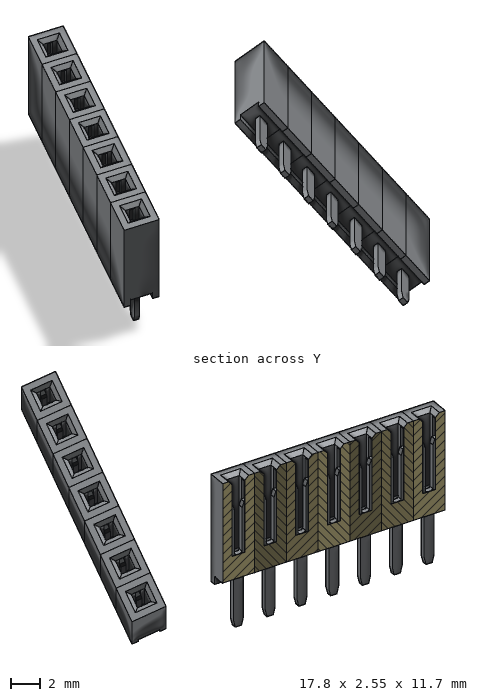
import cadquery as cq
import math

row_length = 17.78
cell_count = 7
pitch = row_length / cell_count
cell_depth = 2.55
cell_height = 8.5

channel_width = 1.6
channel_height = 0.6

mouth_side = 1.6
well_side = 1.0
mouth_depth = (mouth_side - well_side) / 2
well_depth = 6.0

contact_thickness = 0.4
slot_width = 1.7
slot_cover = 0.09

fork_top_depth = 2.0
fork_gap = 0.6
fork_mouth = 0.9
fork_lead_in = 0.43
gap_bottom_radius = 0.48

pin_width = 0.8
pin_length = 3.2
pin_tip_width = 0.5
pin_taper = 0.6

mouth_bottom_z = cell_height - mouth_depth
well_floor_z = cell_height - well_depth
slot_top_z = mouth_bottom_z - slot_cover
fork_top_z = cell_height - fork_top_depth
gap_bottom_z = well_floor_z


def centred_plate(outline):
    """Extrude an XZ outline to the contact thickness, centred on Y = 0."""
    return outline.extrude(contact_thickness / 2, both=True)


def make_block():
    """Plain cell with the channel cut along its underside."""
    block = cq.Workplane("XY").box(pitch, cell_depth, cell_height, centered=(True, True, False))
    channel = cq.Workplane("XY").box(pitch, channel_width, channel_height, centered=(True, True, False))
    return block.cut(channel)


def make_well():
    """Cutter for the square well and its funnel mouth."""
    shaft = cq.Workplane("XY").workplane(offset=well_floor_z).rect(well_side, well_side)
    shaft = shaft.extrude(mouth_bottom_z - well_floor_z)
    mouth = cq.Workplane("XY").workplane(offset=mouth_bottom_z).rect(well_side, well_side)
    mouth = mouth.workplane(offset=mouth_depth).rect(mouth_side, mouth_side).loft(ruled=True)
    return shaft.union(mouth)


def make_slot():
    """Cutter for the contact slot."""
    slot_height = slot_top_z - well_floor_z
    slot_centre_z = (slot_top_z + well_floor_z) / 2
    return centred_plate(cq.Workplane("XZ").center(0, slot_centre_z).rect(slot_width, slot_height))


def make_fork():
    """Fork with a tapered lead-in and a gap that ends in a shallow arc."""
    half_gap = fork_gap / 2
    half_mouth = fork_mouth / 2
    half_width = slot_width / 2
    throat_z = fork_top_z - fork_lead_in
    arc_rise = gap_bottom_radius - math.sqrt(gap_bottom_radius**2 - half_gap**2)
    gap_side_z = gap_bottom_z + arc_rise
    base_z = channel_height
    outline = (
        cq.Workplane("XZ")
        .moveTo(-half_width, base_z)
        .lineTo(-half_width, fork_top_z)
        .lineTo(-half_mouth, fork_top_z)
        .lineTo(-half_gap, throat_z)
        .lineTo(-half_gap, gap_side_z)
        .threePointArc((0, gap_bottom_z), (half_gap, gap_side_z))
        .lineTo(half_gap, throat_z)
        .lineTo(half_mouth, fork_top_z)
        .lineTo(half_width, fork_top_z)
        .lineTo(half_width, base_z)
        .close()
    )
    return centred_plate(outline)


def make_pin():
    """Flat solder pin with a tapered tip, running down from the channel roof."""
    half_width = pin_width / 2
    half_tip = pin_tip_width / 2
    tip_z = -pin_length
    outline = cq.Workplane("XZ").polyline([
        (-half_width, channel_height),
        (-half_width, tip_z + pin_taper),
        (-half_tip, tip_z),
        (half_tip, tip_z),
        (half_width, tip_z + pin_taper),
        (half_width, channel_height),
    ]).close()
    return centred_plate(outline)


def make_socket_cell():
    """One complete cell: block, well, fork and pin as a single solid."""
    hollow_block = make_block().cut(make_well()).cut(make_slot())
    return hollow_block.union(make_fork()).union(make_pin())


socket_cell = make_socket_cell()
socket_cells = []
for index in range(cell_count):
    x_position = (index - (cell_count - 1) / 2) * pitch
    socket_cells.append(socket_cell.translate((x_position, 0, 0)).val())

result = cq.Compound.makeCompound(socket_cells)